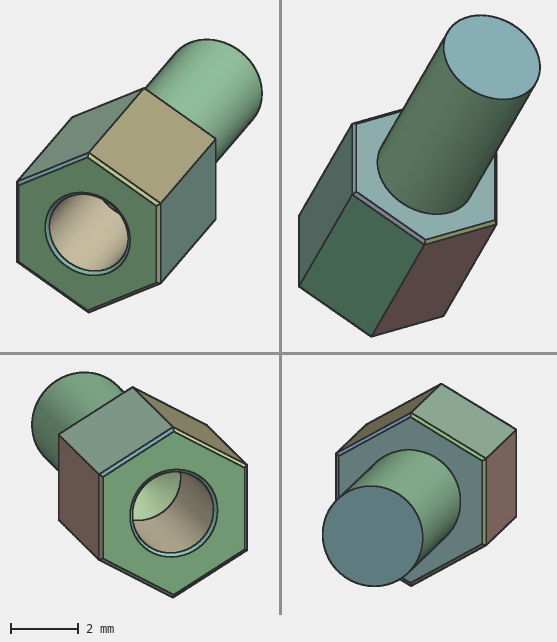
import cadquery as cq
import math

total_length = 11.0
hex_length = 5.0
hex_across_flats = 4.5
hex_chamfer = 0.1

stud_diameter = 3.0
stud_length = total_length - hex_length

hole_diameter = 2.46
hole_depth = 4.0
hole_chamfer = 0.1
drill_point_angle = 118.0


def hex_body():
    """Hexagonal prism along +Y with corners at top and bottom and both ends chamfered."""
    across_corners = hex_across_flats / math.cos(math.radians(30))
    prism = (
        cq.Workplane("XZ")
        .transformed(rotate=(0, 0, 90))
        .polygon(6, across_corners)
        .extrude(-hex_length)
    )
    return prism.faces("<Y or >Y").chamfer(hex_chamfer)


def stud():
    """Plain cylinder continuing from the back of the hexagon."""
    return (
        cq.Workplane("XZ", origin=(0, hex_length, 0))
        .circle(stud_diameter / 2)
        .extrude(-stud_length)
    )


def drilled_hole():
    """Cutter for the blind hole, with a chamfered mouth and a conical drill point."""
    radius = hole_diameter / 2
    point_length = radius / math.tan(math.radians(drill_point_angle / 2))
    return (
        cq.Workplane("XY")
        .moveTo(0, 0)
        .lineTo(radius + hole_chamfer, 0)
        .lineTo(radius, hole_chamfer)
        .lineTo(radius, hole_depth)
        .lineTo(0, hole_depth + point_length)
        .close()
        .revolve(360, (0, 0, 0), (0, 1, 0))
    )


result = hex_body().union(stud()).cut(drilled_hole())